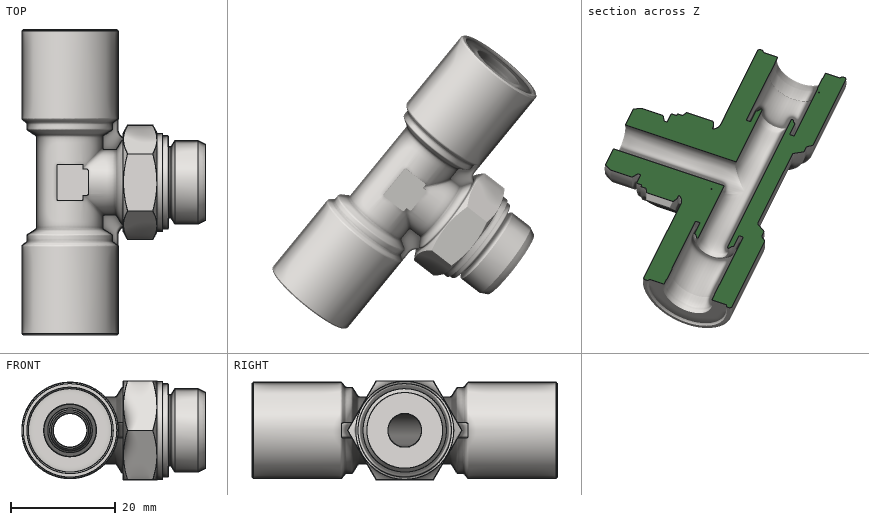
import cadquery as cq
import math


run_half_length = 29.3
stud_end_x = 26.0

tube_diameter = 12.9
bore_diameter = 6.45
mitre_fillet = 0.35

collar_diameter = 16.5
collar_cone_start_y = 8.9
collar_cone_end_y = 10.1
collar_end_y = 11.35
collar_fillet = 0.35

socket_diameter = 18.5
socket_start_y = 12.15
socket_rim_chamfer = 0.3
rim_inner_diameter = 16.6
recess_diameter = 16.0
recess_depth = 0.4
entry_diameter = 10.15
entry_depth = 1.2
entry_taper = 0.35
release_ring_depth = 4.0
chamber_diameter = 10.15
tube_bore_diameter = 10.0
seat_y = 12.9

sleeve_diameter = 8.55
sleeve_nose_diameter = 7.85
sleeve_tip_diameter = 7.15
sleeve_length = 3.5
sleeve_nose_length = 0.6
sleeve_shoulder_length = 0.25

pad_height = 6.5
pad_start_x = -2.5
pad_half_width = 3.45
pad_end_x = 3.5
pad_corner_radius = 0.25

rib_thickness = 2.95
rib_edge_fillet = 0.45
rib_outer_x = 9.2
rib_curve_start_y = 10.1
rib_curve_end_y = 8.55
rib_curve_depth = 0.2

hex_across_flats = 19.0
hex_start_x = 10.2
hex_end_x = 16.7
hex_chamfer_diameter = 18.8
hex_chamfer_angle = 28.0

cone_start_x = 8.85
cone_end_x = 9.95
cone_end_diameter = 16.4
cone_fillet = 0.35

washer_diameter = 18.8
washer_end_x = 17.75
seal_diameter = 17.95
seal_end_x = 18.85
seal_round = 0.3
neck_diameter = 13.7
neck_end_x = 19.4
thread_diameter = 16.0
thread_start_x = 20.1
thread_end_x = 24.55
stud_tip_diameter = 14.55


def run_cylinder(diameter, half_length):
    """Cylinder on the Y axis, centred on the origin."""
    return cq.Workplane("XZ").circle(diameter / 2).extrude(half_length, both=True)


def branch_cylinder(diameter, start_x, end_x):
    """Cylinder on the X axis between two X positions."""
    return cq.Workplane("YZ").workplane(offset=start_x).circle(diameter / 2).extrude(end_x - start_x)


def turn_on_run(points):
    """Revolve a closed (radius, y) outline about the Y axis."""
    return cq.Workplane("XY").polyline(points).close().revolve(360, (0, 0, 0), (0, 1, 0))


def turn_on_branch(profile):
    """Revolve a closed (x, radius) outline about the X axis."""
    return profile.close().revolve(360, (0, 0, 0), (1, 0, 0))


def both_ends(half):
    """The +Y half together with its mirror image on the -Y side."""
    return half.union(half.mirror("XZ"))


def wrench_pads():
    """Raised flat pads over the crossing, narrower on the branch than on the run."""
    run_part_end_x = -pad_start_x
    branch_half_width = run_part_end_x
    run_part = (
        cq.Workplane("XY")
        .rect(run_part_end_x - pad_start_x, 2 * pad_half_width)
        .extrude(pad_height, both=True)
        .edges("|Z")
        .fillet(pad_corner_radius)
    )
    branch_part = (
        cq.Workplane("XY")
        .center(pad_end_x / 2, 0)
        .rect(pad_end_x, 2 * branch_half_width)
        .extrude(pad_height, both=True)
        .edges("|Z and >X")
        .chamfer(pad_corner_radius)
    )
    return run_part.union(branch_part)


def tee_body():
    """Run and branch tubes with their pads, the mitred corner between them rounded."""
    run = run_cylinder(tube_diameter, socket_start_y)
    branch = branch_cylinder(tube_diameter, 0, hex_start_x)
    tubes = run.union(branch).union(wrench_pads())
    mitre_zone = cq.selectors.BoxSelector(
        (pad_end_x, -tube_diameter, -tube_diameter),
        (tube_diameter, tube_diameter, tube_diameter),
    )
    return tubes.edges("%ELLIPSE").edges(mitre_zone).fillet(mitre_fillet)


def socket_shell():
    """Collar and socket at the +Y end."""
    tube_radius = tube_diameter / 2
    collar_radius = collar_diameter / 2
    socket_radius = socket_diameter / 2
    recess_floor_y = run_half_length - recess_depth
    shell = turn_on_run([
        (0, collar_cone_start_y - collar_fillet),
        (tube_radius, collar_cone_start_y - collar_fillet),
        (tube_radius, collar_cone_start_y),
        (collar_radius, collar_cone_end_y),
        (collar_radius, collar_end_y),
        (socket_radius, socket_start_y),
        (socket_radius, run_half_length - socket_rim_chamfer),
        (socket_radius - socket_rim_chamfer, run_half_length),
        (rim_inner_diameter / 2, run_half_length),
        (recess_diameter / 2, recess_floor_y),
        (0, recess_floor_y),
    ])
    fillet_zone = cq.selectors.BoxSelector(
        (-socket_diameter, collar_cone_start_y - collar_fillet / 2, -socket_diameter),
        (socket_diameter, socket_start_y + collar_fillet / 2, socket_diameter),
    )
    return shell.edges("%CIRCLE").edges(fillet_zone).fillet(collar_fillet)


def socket_cavity():
    """Tube bore of the +Y socket, leaving the support sleeve standing on its seat."""
    entry_y = run_half_length - recess_depth
    sleeve_tip_y = seat_y + sleeve_length
    return turn_on_run([
        (0, sleeve_tip_y),
        (sleeve_tip_diameter / 2, sleeve_tip_y),
        (sleeve_nose_diameter / 2, sleeve_tip_y - sleeve_nose_length),
        (sleeve_diameter / 2, sleeve_tip_y - sleeve_nose_length - sleeve_shoulder_length),
        (sleeve_diameter / 2, seat_y),
        (chamber_diameter / 2, seat_y),
        (chamber_diameter / 2, entry_y - release_ring_depth),
        (tube_bore_diameter / 2, entry_y - release_ring_depth),
        (tube_bore_diameter / 2, entry_y - entry_depth - entry_taper),
        (entry_diameter / 2, entry_y - entry_depth),
        (entry_diameter / 2, entry_y),
        (0, entry_y),
    ])


def corner_rib():
    """Web filling the +Y corner, with a concave free edge and rounded rims."""
    arc_middle_x = (rib_outer_x + hex_start_x) / 2 - rib_curve_depth
    arc_middle_y = (rib_curve_start_y + rib_curve_end_y) / 2 - rib_curve_depth
    rib = (
        cq.Workplane("XY")
        .workplane(offset=-rib_thickness / 2)
        .lineTo(hex_start_x, 0)
        .lineTo(hex_start_x, rib_curve_end_y)
        .threePointArc((arc_middle_x, arc_middle_y), (rib_outer_x, rib_curve_start_y))
        .lineTo(rib_outer_x, socket_start_y)
        .lineTo(0, socket_start_y)
        .close()
        .extrude(rib_thickness)
    )
    free_edge_zone = cq.selectors.BoxSelector(
        (rib_outer_x - rib_edge_fillet, rib_curve_end_y, -rib_thickness),
        (hex_start_x - rib_edge_fillet, socket_start_y, rib_thickness),
    )
    return rib.faces("|Z").edges("not |Z").edges(free_edge_zone).fillet(rib_edge_fillet)


def hexagon():
    """Hexagon with corners on +Y and -Y, both ends turned to a shallow chamfer."""
    across_corners = hex_across_flats / math.cos(math.pi / 6)
    prism = (
        cq.Workplane("YZ")
        .workplane(offset=hex_start_x)
        .polygon(6, across_corners)
        .extrude(hex_end_x - hex_start_x)
    )
    face_radius = hex_chamfer_diameter / 2
    outer_radius = across_corners / 2
    chamfer_length = (outer_radius - face_radius) * math.tan(math.radians(hex_chamfer_angle))
    envelope = turn_on_branch(
        cq.Workplane("XY")
        .moveTo(hex_start_x, 0)
        .lineTo(hex_start_x, face_radius)
        .lineTo(hex_start_x + chamfer_length, outer_radius)
        .lineTo(hex_end_x - chamfer_length, outer_radius)
        .lineTo(hex_end_x, face_radius)
        .lineTo(hex_end_x, 0)
    )
    return prism.intersect(envelope)


def flange_cone():
    """Cone widening from the branch to the hexagon, rounded at both ends."""
    branch_radius = tube_diameter / 2
    root_x = cone_start_x - cone_fillet
    cone = turn_on_branch(
        cq.Workplane("XY")
        .moveTo(root_x, 0)
        .lineTo(root_x, branch_radius)
        .lineTo(cone_start_x, branch_radius)
        .lineTo(cone_end_x, cone_end_diameter / 2)
        .lineTo(hex_start_x, cone_end_diameter / 2)
        .lineTo(hex_start_x, 0)
    )
    fillet_zone = cq.selectors.BoxSelector(
        (cone_start_x - cone_fillet / 2, -cone_end_diameter, -cone_end_diameter),
        (cone_end_x + cone_fillet / 4, cone_end_diameter, cone_end_diameter),
    )
    return cone.edges("%CIRCLE").edges(fillet_zone).fillet(cone_fillet)


def stud():
    """Washer face, seal ring, neck and thread cylinder in front of the hexagon."""
    seal_radius = seal_diameter / 2
    return turn_on_branch(
        cq.Workplane("XY")
        .moveTo(hex_end_x, 0)
        .lineTo(hex_end_x, washer_diameter / 2)
        .lineTo(washer_end_x, washer_diameter / 2)
        .lineTo(washer_end_x, seal_radius)
        .lineTo(seal_end_x - seal_round, seal_radius)
        .radiusArc((seal_end_x, seal_radius - seal_round), seal_round)
        .lineTo(seal_end_x, neck_diameter / 2)
        .lineTo(neck_end_x, neck_diameter / 2)
        .lineTo(thread_start_x, thread_diameter / 2)
        .lineTo(thread_end_x, thread_diameter / 2)
        .lineTo(stud_end_x, stud_tip_diameter / 2)
        .lineTo(stud_end_x, 0)
    )


ribs = both_ends(corner_rib())
sockets = both_ends(socket_shell())
cavities = both_ends(socket_cavity())
run_bore = run_cylinder(bore_diameter, run_half_length)
branch_bore = branch_cylinder(bore_diameter, 0, stud_end_x)

result = (
    tee_body()
    .union(flange_cone())
    .union(ribs)
    .union(sockets)
    .union(hexagon())
    .union(stud())
    .cut(cavities)
    .cut(run_bore)
    .cut(branch_bore)
)